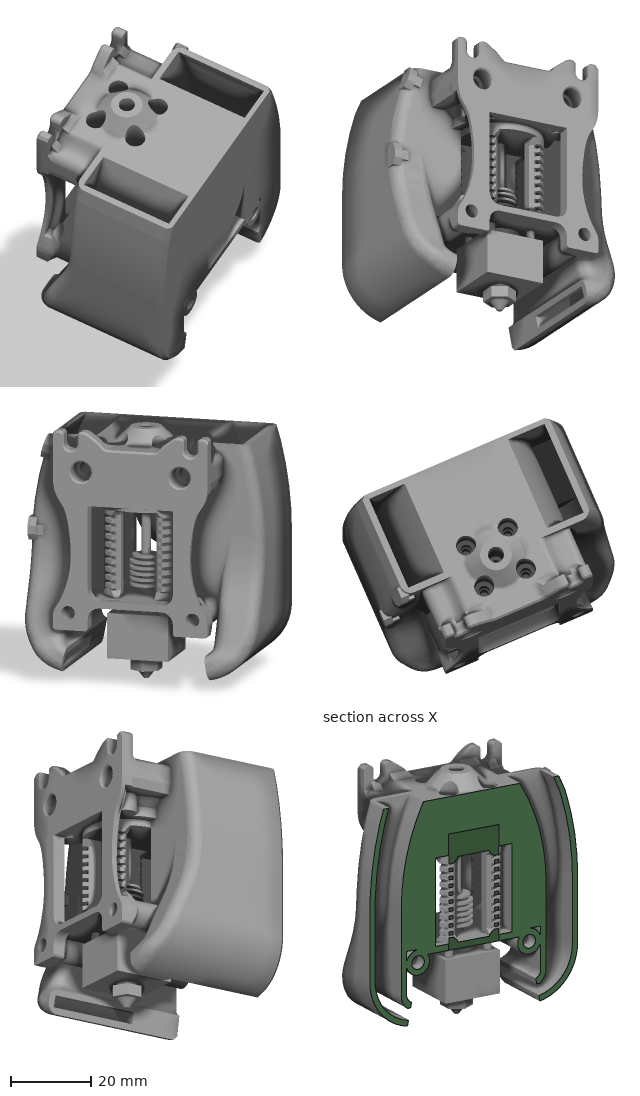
import cadquery as cq
import math


MOUNT_BACK = -14.5
COVER_FRONT = 27.4
TOP = 60.5
TOTAL_HEIGHT = 64.7
HOTEND_RADIUS = 11.0
HOTEND_TOP = 50.6
FLANGE_BOTTOM = 44.3
FOOT_TOP, FOOT_BOTTOM = 21.9, 20.1
BLOCK_TOP, BLOCK_BOTTOM = 17.5, 6.1
FILAMENT_DIA = 2.08
TUBE_HOLE_DIA = 4.0
SCREW_PITCH = 11.3
SCREW_DIA, SCREW_HEAD_DIA = 2.75, 5.0
SCREW_SEAT_Z = 54.0
BOLT_Y, BOLT_Z, BOLT_DIA = 16.1, 18.5, 3.5
BOLT_TUBE_RADIUS = 3.4

PLATE_THICKNESS = 3.2
PLATE_HALF_WIDTH = 20.0
PLATE_BOTTOM = 14.1
WAIST_HALF_WIDTH = 15.7
SLOT_Y, SLOT_DIA = 15.5, 3.5
SLOT_CENTER_Z = 61.6
EAR_RADIUS, EAR_BEVEL = 1.0, 0.7
SADDLE_HALF_WIDTH = 5.6
PLATE_CHAMFER = 0.5
WINDOW_TOP, WINDOW_BOTTOM = 46.0, 21.7
WINDOW_RADIUS = 3.0
INSERT_Y, INSERT_Z, INSERT_DIA = 12.8, 54.5, 5.2
INSERT_MOUTH_DIA, INSERT_MOUTH_DEPTH = 6.0, 0.4
INSERT_DEPTH, INSERT_HOLE_DEPTH = 5.0, 9.0
GUSSET = 1.9
RING_RADIUS = 13.5
RING_FLARE_Z = 48.5
EDGE_THICKNESS = 1.1

CONE_TOP_Z = 64.15
CONE_TOP_RADIUS, CONE_BASE_RADIUS = 4.2, 7.6
CONE_EDGE = 0.25
CONE_RIM_RADIUS, CONE_RIM_HEIGHT = 8.0, 0.15

DUCT_HALF_WIDTH = 30.15
CLIP_OUTER_Y = 30.43
DUCT_INNER_Y = 19.35
SIDE_BEND_Z = 56.6
LEFT_SIDE = {"top": 24.7, "bend": 26.45, "inlet": 13.4}
RIGHT_SIDE = {"top": 26.15, "bend": 27.3, "inlet": 14.6}
SIDE_STRAIGHT_TOP, SIDE_STRAIGHT_BOTTOM = 33.7, 15.6
TIP_Y, TIP_Z = 19.1, 2.25
TIP_INNER_Y, TIP_INNER_Z = 17.9, 8.45
LIP_ARC_Z = 10.5
DUCT_WALL = 1.65
CORE_HALF_WIDTH = 22.1
DUCT_CAVITY_INNER_Y = DUCT_INNER_Y + DUCT_WALL
BACK_EDGE_ROUND = 2.7
FRONT_CHAMFER = 1.0
CONE_PLUG_RADIUS, CONE_PLUG_Z = 10.9, 38.0
CONE_PLUG_TIP_RADIUS, CONE_PLUG_TIP_X, CONE_PLUG_TIP_Z = 0.5, 12.5, 33.5
TUNNEL_TOP = 45.0

BACK_TOP = 37.6
BACK_TIP_X, BACK_TIP_Z = -11.0, 5.0
BACK_CURVE = [(-0.9, 29.2), (-6.2, 16.5), (-9.3, 9.9), (BACK_TIP_X, BACK_TIP_Z)]


def box(x0, x1, y0, y1, z0, z1):
    return cq.Workplane("XY").box(x1 - x0, y1 - y0, z1 - z0, centered=False).translate((x0, y0, z0))


def rod_x(x0, x1, y, z, radius):
    return cq.Workplane("YZ", origin=(x0, y, z)).circle(radius).extrude(x1 - x0)


def rod_z(x, y, z0, z1, radius):
    return cq.Workplane("XY", origin=(x, y, z0)).circle(radius).extrude(z1 - z0)


def cone_x(x0, y, z, start_radius, end_radius, length):
    cone = cq.Solid.makeCone(start_radius, end_radius, length, pnt=cq.Vector(x0, y, z), dir=cq.Vector(1, 0, 0))
    return cq.Workplane("XY").add(cone)


def both_sides(half):
    return half.union(half.mirror("XZ"))


def screw_points():
    half = SCREW_PITCH / 2
    return [(sx * half, sy * half) for sx in (-1, 1) for sy in (-1, 1)]


def guide_cone():
    return (
        cq.Workplane("XZ")
        .moveTo(0, TOP - 1)
        .lineTo(CONE_RIM_RADIUS, TOP - 1)
        .lineTo(CONE_RIM_RADIUS, TOP)
        .lineTo(CONE_BASE_RADIUS, TOP + CONE_RIM_HEIGHT)
        .lineTo(CONE_TOP_RADIUS, CONE_TOP_Z - CONE_EDGE)
        .lineTo(CONE_TOP_RADIUS - CONE_EDGE, CONE_TOP_Z)
        .lineTo(0, CONE_TOP_Z)
        .close()
        .revolve(360, (0, 0, 0), (0, 1, 0))
    )


def hotend_seat():
    seat = rod_z(0, 0, PLATE_BOTTOM, HOTEND_TOP, HOTEND_RADIUS)
    seat = seat.union(rod_z(0, 0, HOTEND_TOP, CONE_TOP_Z, TUBE_HOLE_DIA / 2))
    for x, y in screw_points():
        seat = seat.union(rod_z(x, y, HOTEND_TOP, TOP, SCREW_DIA / 2))
        seat = seat.union(rod_z(x, y, SCREW_SEAT_Z, CONE_TOP_Z, SCREW_HEAD_DIA / 2))
    return seat


def lower_rib(x0, x1):
    rib = box(x0, x1, -BOLT_Y, BOLT_Y, FOOT_BOTTOM, FOOT_TOP)
    for side in (-1, 1):
        rib = rib.union(rod_x(x0, x1, side * BOLT_Y, BOLT_Z, BOLT_TUBE_RADIUS))
    return rib


def bolt_holes():
    length = COVER_FRONT - MOUNT_BACK
    return (
        cq.Workplane("YZ", origin=(MOUNT_BACK, 0, BOLT_Z))
        .pushPoints([(-BOLT_Y, 0), (BOLT_Y, 0)])
        .circle(BOLT_DIA / 2)
        .extrude(length)
    )


def plate_half(thickness):
    waist_low, waist_high = 29.4, 38.4
    shoulder_low, shoulder_high = 17.6, 53.0
    foot_inner_y, arch_radius = 11.0, 3.0
    peak_y = 12.6
    slot_radius = SLOT_DIA / 2
    slot_in, slot_out = SLOT_Y - slot_radius, SLOT_Y + slot_radius
    corner = EAR_RADIUS * (1 - math.sqrt(0.5))
    arch_corner = arch_radius * (1 - math.sqrt(0.5))
    return (
        cq.Workplane("YZ", origin=(MOUNT_BACK, 0, 0))
        .moveTo(0, FOOT_BOTTOM)
        .lineTo(foot_inner_y - arch_radius, FOOT_BOTTOM)
        .threePointArc((foot_inner_y - arch_corner, FOOT_BOTTOM - arch_corner),
                       (foot_inner_y, FOOT_BOTTOM - arch_radius))
        .lineTo(foot_inner_y, PLATE_BOTTOM)
        .lineTo(PLATE_HALF_WIDTH, PLATE_BOTTOM)
        .lineTo(PLATE_HALF_WIDTH, shoulder_low)
        .spline([(18.75, 20.7), (17.5, 23.15), (WAIST_HALF_WIDTH, waist_low), (WAIST_HALF_WIDTH, waist_high),
                 (17.4, 45.5), (PLATE_HALF_WIDTH, shoulder_high)],
                tangents=[(0, 1), (0, 1)], includeCurrent=True)
        .lineTo(PLATE_HALF_WIDTH, TOTAL_HEIGHT - EAR_BEVEL)
        .lineTo(PLATE_HALF_WIDTH - EAR_BEVEL, TOTAL_HEIGHT)
        .lineTo(slot_out + EAR_RADIUS, TOTAL_HEIGHT)
        .threePointArc((slot_out + corner, TOTAL_HEIGHT - corner), (slot_out, TOTAL_HEIGHT - EAR_RADIUS))
        .lineTo(slot_out, SLOT_CENTER_Z)
        .threePointArc((SLOT_Y, SLOT_CENTER_Z - slot_radius), (slot_in, SLOT_CENTER_Z))
        .lineTo(slot_in, TOTAL_HEIGHT - EAR_RADIUS)
        .threePointArc((slot_in - corner, TOTAL_HEIGHT - corner), (peak_y, TOTAL_HEIGHT))
        .spline([(10.3, 63.8), (7.6, 61.6), (SADDLE_HALF_WIDTH, TOP)],
                tangents=[(-1, 0), (-1, 0)], includeCurrent=True)
        .lineTo(0, TOP)
        .close()
        .extrude(thickness)
    )


def mount_upper_body():
    front = MOUNT_BACK + PLATE_THICKNESS
    half = (
        cq.Workplane("YZ", origin=(front, 0, 0))
        .moveTo(0, HOTEND_TOP)
        .lineTo(19.3, HOTEND_TOP)
        .lineTo(PLATE_HALF_WIDTH, 53.0)
        .lineTo(PLATE_HALF_WIDTH, 56.4)
        .threePointArc((19.4, 57.95), (17.9, 58.6))
        .lineTo(15.6, 58.6)
        .threePointArc((14.0, 58.9), (12.9, 59.75))
        .threePointArc((12.3, 60.3), (11.5, TOP))
        .lineTo(0, TOP)
        .close()
        .extrude(-front)
    )
    return both_sides(half)


def gussets():
    front = MOUNT_BACK + PLATE_THICKNESS
    filler = cq.Workplane("XY")
    for inner_y, outer_y, base_z, rise in (
            (4.6, 12.6, TOP, 1.3), (15.6, 18.0, 58.6, 1.9), (18.0, PLATE_HALF_WIDTH, 56.4, 2.2)):
        wedge = (
            cq.Workplane("XZ", origin=(0, inner_y, 0))
            .polyline([(front, base_z - 1), (front + GUSSET, base_z - 1),
                       (front + GUSSET, base_z), (front, base_z + rise)])
            .close()
            .extrude(inner_y - outer_y)
        )
        filler = filler.add(wedge)
    outline = plate_half(PLATE_THICKNESS + GUSSET)
    return both_sides(filler.combine().intersect(outline))


def make_mount():
    front = MOUNT_BACK + PLATE_THICKNESS
    plate = plate_half(PLATE_THICKNESS)
    top_edges = cq.selectors.BoxSelector(
        (MOUNT_BACK - 0.1, -1, SLOT_CENTER_Z - SLOT_DIA / 2 - 0.1),
        (MOUNT_BACK + 0.1, PLATE_HALF_WIDTH + 1, TOTAL_HEIGHT + 1))
    plate = plate.edges(top_edges).chamfer(PLATE_CHAMFER)
    foot_corner = 0.8
    plate = plate.edges("|X and <Z").fillet(foot_corner)
    mount = both_sides(plate)
    edge_width = 2.7
    step = box(MOUNT_BACK + EDGE_THICKNESS, front, 0, PLATE_HALF_WIDTH, FOOT_TOP, HOTEND_TOP)
    step = step.cut(plate_half(PLATE_THICKNESS).translate((0, -edge_width, 0)))
    mount = mount.cut(both_sides(step))
    mount = mount.union(mount_upper_body()).union(gussets())
    ring = rod_z(0, 0, WINDOW_TOP, HOTEND_TOP + 1, RING_RADIUS)
    boss_x, boss_y, boss_radius = -8.5, 12.5, 2.8
    flare = HOTEND_TOP - RING_FLARE_Z
    ring = ring.union(cq.Workplane("XY").add(
        cq.Solid.makeCone(RING_RADIUS, RING_RADIUS + flare, flare, pnt=cq.Vector(0, 0, RING_FLARE_Z))))
    for side in (-1, 1):
        ring = ring.union(rod_z(boss_x, side * boss_y, WINDOW_TOP, HOTEND_TOP + 1, boss_radius))
    mount = mount.union(ring.intersect(box(front, 0, -PLATE_HALF_WIDTH, PLATE_HALF_WIDTH, WINDOW_TOP, TOP)))
    mount = mount.union(lower_rib(front, 0))
    tube_flare = cone_x(front, BOLT_Y, BOLT_Z, BOLT_TUBE_RADIUS + GUSSET, BOLT_TUBE_RADIUS, GUSSET)
    mount = mount.union(both_sides(tube_flare.intersect(plate_half(PLATE_THICKNESS + GUSSET))))
    window = box(MOUNT_BACK, front, -HOTEND_RADIUS, HOTEND_RADIUS, WINDOW_BOTTOM, WINDOW_TOP)
    window = window.edges("|X and <Z").fillet(WINDOW_RADIUS)
    mount = mount.cut(window)
    mount = mount.union(guide_cone().intersect(box(front, 0, -RING_RADIUS, RING_RADIUS, TOP - 1, TOTAL_HEIGHT)))
    for side in (-1, 1):
        mount = mount.cut(rod_x(MOUNT_BACK, MOUNT_BACK + INSERT_DEPTH, side * INSERT_Y, INSERT_Z, INSERT_DIA / 2))
        mount = mount.cut(cone_x(MOUNT_BACK, side * INSERT_Y, INSERT_Z, INSERT_MOUTH_DIA / 2,
                                 INSERT_DIA / 2, INSERT_MOUTH_DEPTH))
        mount = mount.cut(
            rod_x(MOUNT_BACK, MOUNT_BACK + INSERT_HOLE_DEPTH, side * INSERT_Y, INSERT_Z, BOLT_DIA / 2))
    return mount.cut(hotend_seat()).cut(bolt_holes())


def tangent_arc(edge_y, edge_z, end_y, end_z):
    rise, run = abs(end_z - edge_z), edge_y - end_y
    radius = (rise**2 + run**2) / (2 * run)
    half_angle = math.asin(rise / radius) / 2 if run < radius else math.pi / 4
    direction = 1 if end_z > edge_z else -1
    return (edge_y - radius * (1 - math.cos(half_angle)),
            edge_z + direction * radius * math.sin(half_angle))


def duct_outer(shape):
    section = (
        cq.Workplane("YZ", origin=(BACK_TIP_X - 1, 0, 0))
        .moveTo(DUCT_INNER_Y, TOP)
        .lineTo(shape["top"], TOP)
        .lineTo(shape["bend"], SIDE_BEND_Z)
        .threePointArc(tangent_arc(DUCT_HALF_WIDTH, SIDE_STRAIGHT_TOP, shape["bend"], SIDE_BEND_Z),
                       (DUCT_HALF_WIDTH, SIDE_STRAIGHT_TOP))
        .lineTo(DUCT_HALF_WIDTH, SIDE_STRAIGHT_BOTTOM)
        .threePointArc(tangent_arc(DUCT_HALF_WIDTH, SIDE_STRAIGHT_BOTTOM, TIP_Y, TIP_Z), (TIP_Y, TIP_Z))
        .lineTo(TIP_INNER_Y, TIP_INNER_Z)
        .threePointArc(tangent_arc(DUCT_INNER_Y, LIP_ARC_Z, TIP_INNER_Y, TIP_INNER_Z), (DUCT_INNER_Y, LIP_ARC_Z))
        .close()
        .extrude(COVER_FRONT - BACK_TIP_X + 1)
    )
    side = (
        cq.Workplane("XZ")
        .moveTo(COVER_FRONT, 0)
        .lineTo(COVER_FRONT, TOP)
        .lineTo(0, TOP)
        .lineTo(0, BACK_TOP)
        .spline(BACK_CURVE, tangents=[(0, -1), (0, -1)], includeCurrent=True)
        .lineTo(BACK_TIP_X, 0)
        .close()
        .extrude(-DUCT_HALF_WIDTH)
    )
    duct = section.intersect(side)
    past_tip = BACK_TIP_X - 1
    outer_front = cq.selectors.BoxSelector(
        (COVER_FRONT - 0.1, TIP_Y + 1, 0), (COVER_FRONT + 0.1, DUCT_HALF_WIDTH + 1, TOP - 1))
    duct = duct.edges(outer_front).chamfer(FRONT_CHAMFER)
    outer_back = cq.selectors.BoxSelector(
        (past_tip, DUCT_INNER_Y + 0.5, 0), (0.5, DUCT_HALF_WIDTH + 1, TOP - 1))
    inner_back = cq.selectors.BoxSelector(
        (past_tip, DUCT_INNER_Y - 0.1, TIP_INNER_Z), (0.5, DUCT_INNER_Y + 0.1, TOP - 1))
    duct = duct.edges(inner_back).edges("not |Y").fillet(BACK_EDGE_ROUND)
    return duct.edges(outer_back).edges("not |Y").fillet(BACK_EDGE_ROUND)


def duct_cavity(shape):
    outer_y = DUCT_HALF_WIDTH - DUCT_WALL
    bend_y = shape["bend"] - DUCT_WALL
    lip_bottom, lip_top = 3.9, 6.9
    tip_y = 17.0
    section = (
        cq.Workplane("YZ", origin=(BACK_TIP_X, 0, 0))
        .moveTo(shape["inlet"], TOP)
        .lineTo(shape["top"] - DUCT_WALL, TOP)
        .lineTo(bend_y, SIDE_BEND_Z)
        .threePointArc(tangent_arc(outer_y, SIDE_STRAIGHT_TOP, bend_y, SIDE_BEND_Z),
                       (outer_y, SIDE_STRAIGHT_TOP))
        .lineTo(outer_y, SIDE_STRAIGHT_BOTTOM)
        .threePointArc(tangent_arc(outer_y, SIDE_STRAIGHT_BOTTOM, TIP_Y, lip_bottom), (TIP_Y, lip_bottom))
        .lineTo(tip_y, lip_bottom)
        .lineTo(tip_y, lip_top)
        .lineTo(TIP_Y, lip_top)
        .threePointArc((20.4, 8.2), (DUCT_CAVITY_INNER_Y, 10.5))
        .lineTo(DUCT_CAVITY_INNER_Y, SIDE_STRAIGHT_TOP)
        .threePointArc(tangent_arc(DUCT_CAVITY_INNER_Y, SIDE_STRAIGHT_TOP, shape["inlet"], TOP),
                       (shape["inlet"], TOP))
        .close()
        .extrude(COVER_FRONT - BACK_TIP_X)
    )
    front = COVER_FRONT - 1.3
    outlet_front = 14.0
    side = (
        cq.Workplane("XZ")
        .moveTo(outlet_front, lip_bottom)
        .lineTo(outlet_front, 12)
        .lineTo(front, 35)
        .lineTo(front, TOP)
        .lineTo(DUCT_WALL, TOP)
        .lineTo(DUCT_WALL, BACK_TOP)
        .spline([(x + DUCT_WALL, z) for x, z in BACK_CURVE], tangents=[(0, -1), (0, -1)], includeCurrent=True)
        .lineTo(BACK_TIP_X + DUCT_WALL, lip_bottom)
        .close()
        .extrude(-DUCT_HALF_WIDTH)
    )
    return section.intersect(side)


def cable_clip(angle):
    rise = DUCT_HALF_WIDTH - LEFT_SIDE["bend"]
    run = SIDE_BEND_Z - SIDE_STRAIGHT_TOP
    radius = (rise**2 + run**2) / (2 * rise)
    tooth = (
        cq.Workplane("XZ", origin=(0, CLIP_OUTER_Y, 0))
        .polyline([(2.7, 39.1), (0, 39.1), (-1.1, 37.1), (-1.1, 35.0), (0, 33.3), (2.7, 33.3)])
        .close()
        .extrude(2.2)
    )
    clip = tooth.union(box(-0.8, 2.7, 26.4, 28.2, 34.8, 37.3))
    center_y = DUCT_HALF_WIDTH - radius
    return clip.rotate((0, center_y, SIDE_STRAIGHT_TOP), (1, center_y, SIDE_STRAIGHT_TOP), angle)


def make_cover():
    cover = duct_outer(LEFT_SIDE).union(duct_outer(RIGHT_SIDE).mirror("XZ"))
    core = box(0, COVER_FRONT, -CORE_HALF_WIDTH, CORE_HALF_WIDTH, FOOT_TOP, TOP)
    cover = cover.union(core).union(lower_rib(0, COVER_FRONT))
    upper_clip_angle = 17
    cover = cover.union(cable_clip(0)).union(cable_clip(upper_clip_angle))
    cover = cover.union(
        guide_cone().intersect(box(0, RING_RADIUS, -RING_RADIUS, RING_RADIUS, TOP - 1, TOTAL_HEIGHT)))
    tunnel = box(0, COVER_FRONT, -HOTEND_RADIUS, HOTEND_RADIUS, FOOT_TOP, TUNNEL_TOP)
    deflector = (
        cq.Workplane("YZ", origin=(COVER_FRONT, 0, CONE_PLUG_Z))
        .circle(CONE_PLUG_RADIUS)
        .workplane(offset=CONE_PLUG_TIP_X - COVER_FRONT)
        .center(0, CONE_PLUG_TIP_Z - CONE_PLUG_Z)
        .circle(CONE_PLUG_TIP_RADIUS)
        .loft()
    )
    front_wall = 2.5
    front_panels = box(COVER_FRONT - front_wall, COVER_FRONT, -HOTEND_RADIUS, HOTEND_RADIUS,
                       CONE_PLUG_Z, TUNNEL_TOP)
    front_panels = front_panels.union(
        box(COVER_FRONT - front_wall, COVER_FRONT, -HOTEND_RADIUS, -7.0, FOOT_TOP, CONE_PLUG_Z))
    deflector = deflector.union(front_panels)
    cover = cover.cut(tunnel.cut(deflector))
    cover = cover.cut(duct_cavity(LEFT_SIDE)).cut(duct_cavity(RIGHT_SIDE).mirror("XZ"))
    return cover.cut(hotend_seat()).cut(bolt_holes())


def pillar(angle):
    groove_radius = 9.5
    core_half_width = 4.55
    inner_radius = core_half_width * math.sqrt(2)
    width, groove_pitch, tooth, tooth_count = 3.3, 2.08, 1.05, 9
    lowest_tooth = 24.0
    bar = box(inner_radius, HOTEND_RADIUS, -width / 2, width / 2, FOOT_TOP, FLANGE_BOTTOM)
    bar = bar.intersect(rod_z(0, 0, FOOT_TOP, FLANGE_BOTTOM, HOTEND_RADIUS))
    for index in range(-1, tooth_count):
        z0 = lowest_tooth + index * groove_pitch + tooth
        slot = rod_z(0, 0, z0, z0 + groove_pitch - tooth, HOTEND_RADIUS + 1).cut(
            rod_z(0, 0, z0, z0 + groove_pitch - tooth, groove_radius))
        bar = bar.cut(slot)
    flare_height, flare_width = 1.6, 6.0
    for z, direction in ((FLANGE_BOTTOM, -1), (FOOT_TOP, 1)):
        flare = (
            cq.Workplane("XY", origin=((inner_radius + HOTEND_RADIUS) / 2, 0, z))
            .rect(HOTEND_RADIUS - inner_radius, flare_width)
            .workplane(offset=direction * flare_height)
            .rect(HOTEND_RADIUS - inner_radius, width)
            .loft()
        )
        bar = bar.union(flare.intersect(rod_z(0, 0, FOOT_TOP, FLANGE_BOTTOM, HOTEND_RADIUS)))
    corner = box(core_half_width, HOTEND_RADIUS, core_half_width, HOTEND_RADIUS, FOOT_TOP, FLANGE_BOTTOM)
    bar = bar.intersect(corner.rotate((0, 0, 0), (0, 0, 1), -45))
    return bar.rotate((0, 0, 0), (0, 0, 1), angle)


def make_heat_sink():
    tube_radius, sleeve_radius, sleeve_top = 1.15, 1.85, 31.6
    fin_radius, top_fin_radius, fin_thickness, fin_pitch, fin_count = 4.15, 3.5, 0.55, 1.46, 6
    sink = rod_z(0, 0, FLANGE_BOTTOM, HOTEND_TOP, HOTEND_RADIUS)
    sink = sink.union(rod_z(0, 0, FOOT_BOTTOM, FOOT_TOP, HOTEND_RADIUS))
    sink = sink.union(rod_z(0, 0, FOOT_TOP, FLANGE_BOTTOM, tube_radius))
    sink = sink.union(rod_z(0, 0, FOOT_TOP, sleeve_top, sleeve_radius))
    for index in range(fin_count):
        fin_top = sleeve_top - index * fin_pitch
        radius = top_fin_radius if index == 0 else fin_radius
        sink = sink.union(rod_z(0, 0, fin_top - fin_thickness, fin_top, radius))
    for angle in (45, 135, 225, 315):
        sink = sink.union(pillar(angle))
    neck_radius, column_offset, column_dia = 5.0, 5.6, 2.15
    sink = sink.union(rod_z(0, 0, BLOCK_TOP, FOOT_BOTTOM, neck_radius))
    for sx in (-1, 1):
        for sy in (-1, 1):
            sink = sink.union(
                rod_z(sx * column_offset, sy * column_offset, BLOCK_TOP, FOOT_BOTTOM, column_dia / 2))
    sink = sink.cut(rod_z(0, 0, BLOCK_TOP, HOTEND_TOP, FILAMENT_DIA / 2))
    thread_dia, thread_depth = 2.15, 4.0
    for x, y in screw_points():
        sink = sink.cut(rod_z(x, y, HOTEND_TOP - thread_depth, HOTEND_TOP, thread_dia / 2))
    return sink


def make_heater_block():
    half = 7.93
    return box(-half, half, -half, half, BLOCK_BOTTOM, BLOCK_TOP)


def make_nozzle():
    hex_flats, hex_top, hex_bottom = 7.1, 5.2, 2.3
    neck_radius, cone_radius, tip_radius = 2.8, 2.4, 0.65
    nozzle = (
        cq.Workplane("XY", origin=(0, 0, hex_bottom))
        .polygon(6, hex_flats / math.cos(math.pi / 6))
        .extrude(hex_top - hex_bottom)
    )
    nozzle = nozzle.union(rod_z(0, 0, hex_top, BLOCK_BOTTOM, neck_radius))
    cone = cq.Solid.makeCone(tip_radius, cone_radius, hex_bottom)
    return nozzle.union(cq.Workplane("XY").add(cone))


mount = make_mount()
cover = make_cover()
heat_sink = make_heat_sink()
heater_block = make_heater_block()
nozzle = make_nozzle()

result = cq.Compound.makeCompound(
    [mount.val(), cover.val(), heat_sink.val(), heater_block.val(), nozzle.val()])